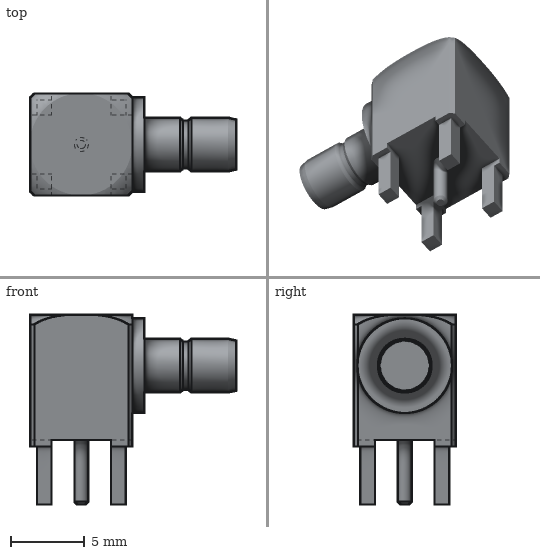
import cadquery as cq
import math

block_side = 7.0
block_height = 9.04
corner_chamfer = 0.28
crown_drop = 0.68
crown_arc_radius = 2.54
overall_height = 13.0
leg_length = overall_height - block_height

leg_pitch = 5.08
leg_side = 1.02
channel_width = leg_pitch - leg_side
channel_depth = 0.45
channel_roof = leg_length + channel_depth

overall_length = 14.1
axis_height = overall_height - block_side / 2
block_face = block_side / 2
barrel_end = overall_length - block_side / 2
flange_radius = 6.49 / 2
flange_thickness = 0.82
barrel_radius = 3.68 / 2
groove_radius = 3.31 / 2
groove_floor_width = 0.35
groove_flank_width = 0.23
groove_end_distance = 3.06
tip_radius = 3.44 / 2
tip_length = 0.54

pin_diameter = 0.96
pin_chamfer = 0.2


def make_crown_envelope():
    """Upright solid of revolution whose domed shoulder rounds off the block's upper corners."""
    flat_radius = block_side / 2
    corner_radius = math.hypot(block_side / 2, block_side / 2 - corner_chamfer)
    shoulder_height = overall_height - crown_drop
    return (
        cq.Workplane("XZ")
        .moveTo(0, 0)
        .lineTo(block_side, 0)
        .lineTo(block_side, shoulder_height)
        .lineTo(corner_radius, shoulder_height)
        .radiusArc((flat_radius, overall_height), -crown_arc_radius)
        .lineTo(0, overall_height)
        .close()
        .revolve(360, (0, 0, 0), (0, 1, 0))
    )


def make_block():
    """Square block with chamfered upright edges, domed crown and crossed channels below."""
    block = (
        cq.Workplane("XY", origin=(0, 0, leg_length))
        .rect(block_side, block_side)
        .extrude(block_height)
        .edges("|Z")
        .chamfer(corner_chamfer)
        .intersect(make_crown_envelope())
    )
    channels = cq.Workplane("XY", origin=(0, 0, leg_length))
    channel_x = channels.rect(block_side, channel_width).extrude(channel_depth)
    channel_y = channels.rect(channel_width, block_side).extrude(channel_depth)
    return block.cut(channel_x).cut(channel_y)


def make_legs():
    """Four square legs, rooted in the corner feet up to the channel roof."""
    return (
        cq.Workplane("XY")
        .rect(leg_pitch, leg_pitch, forConstruction=True)
        .vertices()
        .rect(leg_side, leg_side)
        .extrude(channel_roof)
    )


def make_barrel():
    """Flange and grooved barrel, revolved about the horizontal axis."""
    flange_face = block_face + flange_thickness
    groove_end = barrel_end - groove_end_distance
    floor_end = groove_end - groove_flank_width
    floor_start = floor_end - groove_floor_width
    groove_start = floor_start - groove_flank_width
    return (
        cq.Workplane("XZ", origin=(0, 0, axis_height))
        .moveTo(block_face, 0)
        .lineTo(block_face, flange_radius)
        .lineTo(flange_face, flange_radius)
        .lineTo(flange_face, barrel_radius)
        .lineTo(groove_start, barrel_radius)
        .lineTo(floor_start, groove_radius)
        .lineTo(floor_end, groove_radius)
        .lineTo(groove_end, barrel_radius)
        .lineTo(barrel_end - tip_length, barrel_radius)
        .lineTo(barrel_end, tip_radius)
        .lineTo(barrel_end, 0)
        .close()
        .revolve(360, (0, 0, 0), (1, 0, 0))
    )


def make_housing():
    """One-piece housing: block, legs and barrel."""
    return make_block().union(make_legs()).union(make_barrel())


def make_center_pin():
    """Round pin hanging from the channel roof, with a chamfered lower end."""
    return (
        cq.Workplane("XY")
        .circle(pin_diameter / 2)
        .extrude(channel_roof)
        .faces("<Z")
        .chamfer(pin_chamfer)
    )


housing = make_housing()
center_pin = make_center_pin()

result = cq.Compound.makeCompound([housing.val(), center_pin.val()])